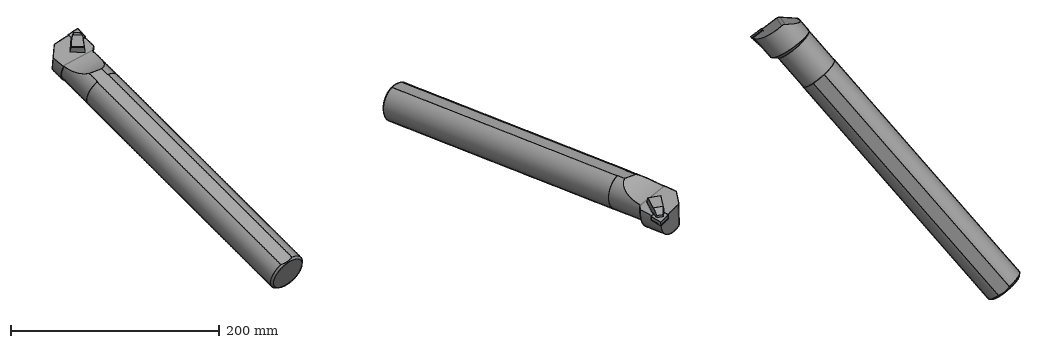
import cadquery as cq
import math

bar_length = 350.0
overall_width = 47.0
shank_diameter = 40.0
flats_width = 37.5
neck_diameter = 39.5
neck_end = 70.0
end_chamfer = 2.0

head_diameter = 44.8
head_offset = 2.27
head_drop = 0.52
head_end = 32.0

tip_height = 0.7
pitch_angle = 6.0
roll_angle = 9.3

insert_side = 13.0
insert_thickness = 5.0
lead_angle = 5.0

front_relief = 0.7
front_depth = 32.2
corner_chamfer_angle = 43.0
corner_radius = 5.0

floor_length = 31.5
gullet_radius = 63.0
gullet_sweep = 80.0

clamp_nose_along = 5.2
clamp_nose_inward = 5.5
clamp_angle = -37.5
clamp_length = 25.2
clamp_nose_width = 6.5
clamp_back_width = 14.7
clamp_height = 6.3
clamp_draft = 8.0
clamp_nose_height = 2.0
clamp_slope_length = 7.7
clamp_shoulder_along = 9.8
clamp_shoulder_width = 12.2
clamp_edge_chamfer = 0.7

neck_radius = neck_diameter / 2
head_radius = head_diameter / 2
tip_y = overall_width + head_offset - head_radius
clearance = 2 * head_diameter

pitch = math.tan(math.radians(pitch_angle))
roll = math.tan(math.radians(roll_angle))
lead = math.radians(lead_angle)

rake_plane = cq.Plane(
    origin=(0, tip_y, tip_height),
    xDir=(1, 0, pitch),
    normal=(-pitch, roll, 1),
)


def x_cylinder(diameter, start, end, center_y=0.0, center_z=0.0):
    plane = cq.Workplane("YZ", origin=(start, center_y, center_z))
    return plane.circle(diameter / 2).extrude(end - start)


def make_shank():
    shank = x_cylinder(shank_diameter, neck_end, bar_length).faces(">X").chamfer(end_chamfer)
    flats = cq.Workplane("XY").box(2 * bar_length, clearance, flats_width)
    return shank.intersect(flats)


def make_neck():
    """Round neck with the upper flat carried through and a full round underside."""
    neck = x_cylinder(neck_diameter, 0, neck_end)
    above_flat = (
        cq.Workplane("XY", origin=(0, 0, flats_width / 2))
        .rect(2 * bar_length, clearance)
        .extrude(clearance)
    )
    return neck.cut(above_flat)


def make_head():
    """Eccentric cylinder whose rear edge is a 45 degree cone about the bar axis."""
    head = x_cylinder(head_diameter, -head_radius, head_end, head_offset, -head_drop)
    cone = (
        cq.Workplane("XZ")
        .moveTo(-head_radius, 0)
        .lineTo(head_end, 0)
        .lineTo(head_end, neck_radius)
        .lineTo(-head_radius, neck_radius + head_end + head_radius)
        .close()
        .revolve(360, (0, 0, 0), (1, 0, 0))
    )
    return head.intersect(cone)


def make_end_envelope():
    """Prism square to the rake plane, with the front face and the chamfered corner."""
    corner = (front_relief + front_depth * math.tan(lead), -front_depth)
    top_left = (front_relief - clearance * math.tan(lead), clearance)
    chamfer_slope = math.tan(math.radians(corner_chamfer_angle))
    chamfer_end = (corner[0] + clearance, corner[1] - clearance * chamfer_slope)
    prism = (
        cq.Workplane(rake_plane)
        .workplane(offset=-clearance)
        .polyline([
            corner,
            chamfer_end,
            (2 * bar_length, chamfer_end[1]),
            (2 * bar_length, clearance),
            top_left,
        ])
        .close()
        .extrude(2 * clearance)
    )
    corner_point = rake_plane.toWorldCoords((corner[0], corner[1], 0))
    corner_edge = cq.selectors.NearestToPointSelector(corner_point.toTuple())
    return prism.edges(corner_edge).fillet(corner_radius)


def make_gullet():
    """Everything above the rake floor and the arc that climbs from it."""
    side_plane = cq.Plane(
        origin=rake_plane.origin,
        xDir=rake_plane.xDir,
        normal=-rake_plane.yDir,
    )

    def arc_point(degrees):
        angle = math.radians(degrees)
        return (
            floor_length + gullet_radius * math.sin(angle),
            gullet_radius * (1 - math.cos(angle)),
        )

    arc_end = arc_point(gullet_sweep)
    return (
        cq.Workplane(side_plane)
        .moveTo(-clearance, 0)
        .lineTo(floor_length, 0)
        .threePointArc(arc_point(gullet_sweep / 2), arc_end)
        .lineTo(-clearance, arc_end[1])
        .close()
        .extrude(clearance, both=True)
    )


def make_insert():
    """Rhombic insert with its cutting corner at the origin of the rake plane."""
    long_leg = insert_side * math.cos(lead)
    short_leg = insert_side * math.sin(lead)
    return (
        cq.Workplane(rake_plane)
        .polyline([
            (0, 0),
            (short_leg, -long_leg),
            (short_leg + long_leg, -long_leg - short_leg),
            (long_leg, -short_leg),
        ])
        .close()
        .extrude(-insert_thickness)
    )


def make_clamp():
    """Tapered clamp on the rake plane, its top sloping down to the nose."""
    base = rake_plane.rotated((0, 0, clamp_angle))
    base.origin = rake_plane.toWorldCoords((clamp_nose_along, -clamp_nose_inward, 0))
    body = (
        cq.Workplane(base)
        .polyline([
            (0, -clamp_nose_width / 2),
            (clamp_shoulder_along, -clamp_shoulder_width / 2),
            (clamp_length, -clamp_back_width / 2),
            (clamp_length, clamp_back_width / 2),
            (clamp_shoulder_along, clamp_shoulder_width / 2),
            (0, clamp_nose_width / 2),
        ])
        .close()
        .extrude(clamp_height, taper=clamp_draft)
    )
    back_top = base.toWorldCoords((clamp_length, 0, clamp_height))
    back_top_edge = cq.selectors.NearestToPointSelector(back_top.toTuple())
    body = body.edges(back_top_edge).chamfer(clamp_edge_chamfer)
    profile_plane = cq.Plane(origin=base.origin, xDir=base.xDir, normal=-base.yDir)
    nose_wedge = (
        cq.Workplane(profile_plane)
        .polyline([
            (0, clamp_nose_height),
            (clamp_slope_length, clamp_height),
            (0, clamp_height),
        ])
        .close()
        .extrude(clamp_back_width, both=True)
    )
    return body.cut(nose_wedge)


insert = make_insert()
cutting_end = make_head().union(make_neck()).intersect(make_end_envelope()).cut(make_gullet())
holder = cutting_end.union(make_shank()).union(make_clamp()).cut(insert)

result = cq.Compound.makeCompound([holder.val(), insert.val()])